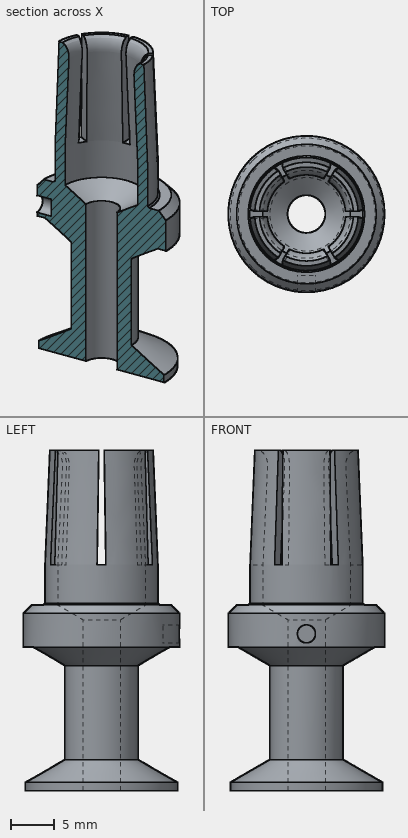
import cadquery as cq

total_height = 39.1
foot_rim_top = 0.98
foot_cone_top = 3.6
stem_top = 14.4
flange_bottom = 16.5
flange_top = 21.35
slot_floor = 25.95

foot_radius = 8.75
stem_radius = 4.22
flange_radius = 9.0
flange_cone_radius = 7.85
flange_chamfer = 0.98
collar_radius = 6.5
collar_foot_flare = 0.2
sleeve_top_radius = 5.95

through_radius = 2.15
bore_radius = 5.05
throat_radius = 4.5
bore_floor_height = flange_top
bore_cone_depth = 1.7
mouth_radius = 5.4
mouth_chamfer_width = 0.4
mouth_chamfer_depth = 0.27
lip_depth = 1.5

finger_count = 6
slot_bottom_width = 0.98
slot_top_width = 0.6

side_hole_diameter = 2.07
side_hole_depth = 1.95
side_hole_height = 18.03


def turned_body():
    """Foot, stem, flange and tapered sleeve as one revolved profile."""
    profile = (
        cq.Workplane("XZ")
        .lineTo(foot_radius, 0)
        .lineTo(foot_radius, foot_rim_top)
        .lineTo(stem_radius, foot_cone_top)
        .lineTo(stem_radius, stem_top)
        .lineTo(flange_cone_radius, flange_bottom)
        .lineTo(flange_radius, flange_bottom)
        .lineTo(flange_radius, flange_top - flange_chamfer)
        .lineTo(flange_radius - flange_chamfer, flange_top)
        .lineTo(collar_radius + collar_foot_flare, flange_top)
        .lineTo(collar_radius, flange_top + collar_foot_flare)
        .lineTo(collar_radius, slot_floor)
        .lineTo(sleeve_top_radius, total_height)
        .lineTo(0, total_height)
        .close()
    )
    return profile.revolve(360, (0, 0, 0), (0, 1, 0))


def inner_passage():
    """Through hole, conical floor, bore tapering to a throat, and rounded mouth."""
    lip_top = total_height - mouth_chamfer_depth
    lip_radius = mouth_radius - mouth_chamfer_width
    profile = (
        cq.Workplane("XZ")
        .lineTo(through_radius, 0)
        .lineTo(through_radius, bore_floor_height - bore_cone_depth)
        .lineTo(bore_radius, bore_floor_height)
        .lineTo(bore_radius, slot_floor)
        .lineTo(throat_radius, lip_top - lip_depth)
        .tangentArcPoint((lip_radius, lip_top), relative=False)
        .lineTo(mouth_radius, total_height)
        .lineTo(0, total_height)
        .close()
    )
    return profile.revolve(360, (0, 0, 0), (0, 1, 0))


def slot_pair(angle):
    """Tapered cutter making two opposite slots across the whole sleeve."""
    cutter = (
        cq.Workplane("YZ")
        .moveTo(-slot_bottom_width / 2, slot_floor)
        .lineTo(slot_bottom_width / 2, slot_floor)
        .lineTo(slot_top_width / 2, total_height)
        .lineTo(-slot_top_width / 2, total_height)
        .close()
        .extrude(flange_radius, both=True)
    )
    return cutter.rotate((0, 0, 0), (0, 0, 1), angle)


def side_hole():
    """Cutter for the radial hole entering the flange from -Y."""
    return (
        cq.Workplane("XZ", origin=(0, -flange_radius, side_hole_height))
        .circle(side_hole_diameter / 2)
        .extrude(-side_hole_depth)
    )


result = turned_body().cut(inner_passage())
for pair in range(finger_count // 2):
    result = result.cut(slot_pair(pair * 360 / finger_count))
result = result.cut(side_hole())